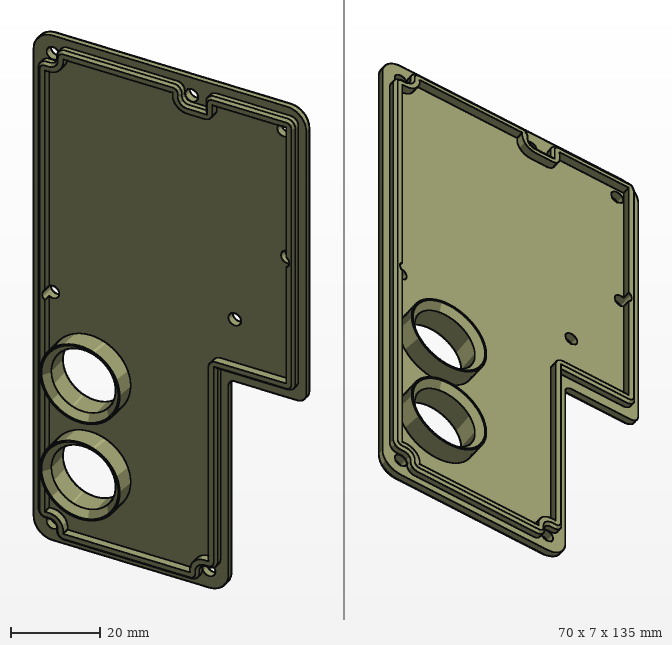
import cadquery as cq


plate_width = 70.0
plate_height = 135.0
lower_width = 50.1
step_z = 57.2
plate_thickness = 2.0
corner_radius = 5.0
step_inner_radius = 1.6
step_outer_radius = 2.3
back_chamfer = 0.5

rim_inset = 2.0
rim_inset_top_right = 2.2
rim_inset_step = 3.1
rim_width = 2.0
rim_height = 2.0
rim_corner_radius = 2.0
rim_chamfer = 0.7

hole_diameter = 3.2
screw_side_inset = 5.0
screw_end_inset = 4.7
top_screw_x = 40.6
left_screw_x = screw_side_inset
right_screw_x = lower_width - screw_side_inset
bottom_screw_z = screw_end_inset
top_screw_z = plate_height - screw_end_inset
edge_screws = [
    (left_screw_x, bottom_screw_z),
    (right_screw_x, bottom_screw_z),
    (left_screw_x, top_screw_z),
    (top_screw_x, top_screw_z),
]
inner_holes = [(64.3, 128.4), (65.2, 94.8), (51.7, 73.8), (5.0, 66.4)]

notch_radius = 1.8
top_notch_right_x = 45.1

collar_x = 14.7
collar_centers = [(collar_x, 21.9), (collar_x, 47.7)]
collar_diameter = 20.5
bore_diameter = 16.5
bore_mouth_diameter = 19.7
countersink_depth = 1.6
collar_front = 7.0


def front_plane(height):
    """Drawing plane parallel to the plate, at a height above its back face."""
    return cq.Workplane("XZ", origin=(0, -height, 0))


def cylinders(centers, diameter, bottom, top):
    return (
        front_plane(bottom)
        .pushPoints(centers)
        .circle(diameter / 2)
        .extrude(top - bottom)
    )


def make_plate():
    outline = [
        (0, 0),
        (lower_width, 0),
        (lower_width, step_z),
        (plate_width, step_z),
        (plate_width, plate_height),
        (0, plate_height),
    ]
    plate = front_plane(0).polyline(outline).close().extrude(plate_thickness)
    middle_y = -plate_thickness / 2
    inner_corner = cq.NearestToPointSelector((lower_width, middle_y, step_z))
    outer_corner = cq.NearestToPointSelector((plate_width, middle_y, step_z))
    large_corners = cq.StringSyntaxSelector("|Y") - inner_corner - outer_corner
    plate = plate.edges(large_corners).fillet(corner_radius)
    plate = plate.edges(inner_corner).fillet(step_inner_radius)
    plate = plate.edges(outer_corner).fillet(step_outer_radius)
    return plate.faces(">Y").edges().chamfer(back_chamfer)


def rim_outline():
    """Outer outline of the rim, before its outward corners are rounded."""
    left = rim_inset
    bottom = rim_inset
    top = plate_height - rim_inset
    right = plate_width - rim_inset
    top_right = plate_height - rim_inset_top_right
    lower_right = lower_width - rim_inset
    step = step_z + rim_inset_step
    r = notch_radius
    left_wall = left_screw_x + r
    right_wall = right_screw_x - r
    bottom_wall = bottom_screw_z + r
    top_wall = top_screw_z - r
    return (
        front_plane(plate_thickness)
        .moveTo(left_wall, bottom)
        .lineTo(right_wall, bottom)
        .lineTo(right_wall, bottom_screw_z)
        .radiusArc((right_screw_x, bottom_wall), r)
        .lineTo(lower_right, bottom_wall)
        .lineTo(lower_right, step)
        .lineTo(right, step)
        .lineTo(right, top_right)
        .lineTo(top_notch_right_x, top_right)
        .lineTo(top_notch_right_x, top_wall)
        .lineTo(top_screw_x, top_wall)
        .radiusArc((top_screw_x - r, top_screw_z), r)
        .lineTo(top_screw_x - r, top)
        .lineTo(left_wall, top)
        .lineTo(left_wall, top_screw_z)
        .radiusArc((left_screw_x, top_wall), r)
        .lineTo(left, top_wall)
        .lineTo(left, bottom_wall)
        .lineTo(left_screw_x, bottom_wall)
        .radiusArc((left_wall, bottom_screw_z), r)
        .close()
    )


def make_rim():
    rounded = rim_outline().offset2D(-rim_corner_radius).offset2D(rim_corner_radius)
    block = rounded.extrude(rim_height).faces("<Y").edges().chamfer(rim_chamfer)
    inside = rim_outline().offset2D(-rim_width).extrude(rim_height)
    return block.cut(inside)


def make_bores():
    bores = cylinders(collar_centers, bore_diameter, 0, collar_front)
    for x, z in collar_centers:
        countersink = cq.Solid.makeCone(
            bore_mouth_diameter / 2,
            bore_diameter / 2,
            countersink_depth,
            pnt=cq.Vector(x, -collar_front, z),
            dir=cq.Vector(0, 1, 0),
        )
        bores = bores.union(cq.Workplane(countersink))
    return bores


collars = cylinders(collar_centers, collar_diameter, 0, collar_front)
rim_front = plate_thickness + rim_height
screw_holes = cylinders(edge_screws + inner_holes, hole_diameter, 0, rim_front)

result = make_plate().union(make_rim()).union(collars)
result = result.cut(make_bores()).cut(screw_holes)